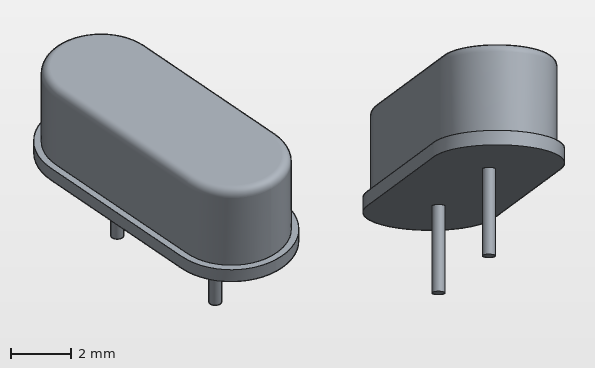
import cadquery as cq

base_length = 10.98
base_width = 4.49
base_thickness = 0.5

rim_width = 0.25
can_length = base_length - 2 * rim_width
can_width = base_width - 2 * rim_width
can_top = 3.6
can_height = can_top - base_thickness
can_top_fillet = 0.3

end_flat_width = 0.01

pin_diameter = 0.44
pin_pitch = 4.88
pin_length = 3.0


def rounded_block(length, width, height):
    """Block with large vertical corner rounds that almost meet at each end."""
    corner_radius = (width - end_flat_width) / 2
    block = cq.Workplane("XY").rect(length, width).extrude(height)
    return block.edges("|Z").fillet(corner_radius)


def make_base():
    return rounded_block(base_length, base_width, base_thickness)


def make_can():
    """Can body with its top edge rounded over, seated on the base plate."""
    can = rounded_block(can_length, can_width, can_height)
    can = can.faces(">Z").edges().fillet(can_top_fillet)
    return can.translate((0, 0, base_thickness))


def make_pin(x):
    """Round pin hanging from the underside of the base plate."""
    return cq.Workplane("XY").center(x, 0).circle(pin_diameter / 2).extrude(-pin_length)


base = make_base()
can = make_can()
pins = [make_pin(side * pin_pitch / 2) for side in (-1, 1)]

result = cq.Compound.makeCompound([base.val(), can.val(), *[pin.val() for pin in pins]])